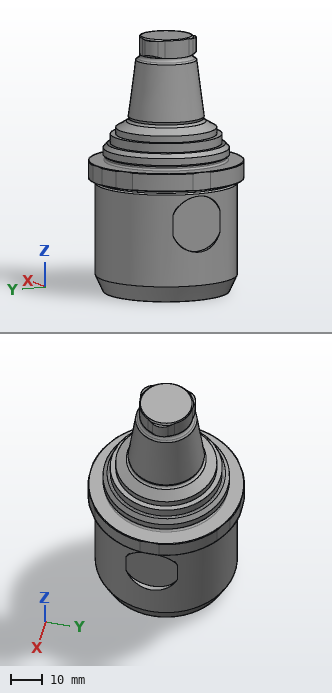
import cadquery as cq
import math

bottom_taper_top = 5.3
body_top = 35.25
flange_bottom = 36.2
flange_top = 42.0
undercut_bottom = 42.65
undercut_top = 43.2
ring_bottom = 43.8
ring_bevel_bottom = 46.0
ring_rim_level = 47.35
ring_top = 47.5
collar_top = 50.4
shoulder_top = 52.5
shoulder_cone_top = 54.5
cone_groove_level = 55.3
cone_bottom = 56.1
cone_top = 74.2
neck_bottom = 74.7
head_bottom = 76.0
total_height = 82.0

bottom_face_radius = 20.0
body_radius = 45.0 / 2
body_chamfer = 0.5
body_neck_radius = 35.0 / 2
flange_radius = 24.7
flange_chamfer = 0.25
flange_fillet_radius = 19.7
undercut_radius = 38.1 / 2
ring_radius = 40.0 / 2
ring_rim_radius = 18.7
ring_top_radius = 18.2
collar_radius = 35.4 / 2
shoulder_radius = 32.0 / 2
shoulder_cone_radius = 12.6
cone_groove_radius = 11.75
cone_bottom_radius = 12.05
cone_top_radius = 9.7
neck_bottom_radius = 9.1
neck_radius = 8.4

quarter_arc_mid = 1 - math.sqrt(0.5)

flange_flat_distance = 24.5
flange_flat_angles = (0, 60, 90, 120, 180, 240, 270, 300)

recess_diameter = 18.0
recess_level = 25.0
recess_floor = 20.9

head_radius = 8.45
head_chamfer = 0.3
lobe_count = 3
lobe_tip_radius = 9.5
lobe_root_half_angle = 30.0
lobe_shoulder_radius = 9.0
lobe_shoulder_half_angle = 16.2
lobe_top = 81.5
lobe_underside_rise = 0.85


def polar(radius, angle):
    """Point in the XY plane at a radius and an angle in degrees."""
    turn = math.radians(angle)
    return (radius * math.cos(turn), radius * math.sin(turn))


def concave_mid(vertical_end, flat_end):
    """Middle of the hollow corner from a vertical wall to a level face."""
    wall_radius, wall_level = vertical_end
    flat_radius, flat_level = flat_end
    return (
        wall_radius + (flat_radius - wall_radius) * quarter_arc_mid,
        flat_level + (wall_level - flat_level) * quarter_arc_mid,
    )


def make_turned_body():
    """Everything from the bottom face to the neck under the head."""
    flange_fillet_start = (flange_fillet_radius, flange_top)
    flange_fillet_end = (undercut_radius, undercut_bottom)
    flange_fillet_mid = concave_mid(flange_fillet_end, flange_fillet_start)
    shoulder_fillet_start = (shoulder_cone_radius, shoulder_cone_top)
    shoulder_fillet_end = (cone_groove_radius, cone_groove_level)
    shoulder_fillet_mid = concave_mid(shoulder_fillet_end, shoulder_fillet_start)
    neck_arc_start = (neck_bottom_radius, neck_bottom)
    neck_arc_end = (neck_radius, head_bottom)
    neck_arc_mid = concave_mid(neck_arc_end, neck_arc_start)
    profile = (
        cq.Workplane("XZ")
        .moveTo(0, 0)
        .lineTo(bottom_face_radius, 0)
        .lineTo(body_radius, bottom_taper_top)
        .lineTo(body_radius, body_top - body_chamfer)
        .lineTo(body_radius - body_chamfer, body_top)
        .lineTo(body_neck_radius, body_top)
        .lineTo(body_neck_radius, flange_bottom)
        .lineTo(flange_radius - flange_chamfer, flange_bottom)
        .lineTo(flange_radius, flange_bottom + flange_chamfer)
        .lineTo(flange_radius, flange_top - flange_chamfer)
        .lineTo(flange_radius - flange_chamfer, flange_top)
        .lineTo(*flange_fillet_start)
        .threePointArc(flange_fillet_mid, flange_fillet_end)
        .lineTo(undercut_radius, undercut_top)
        .lineTo(ring_radius, ring_bottom)
        .lineTo(ring_radius, ring_bevel_bottom)
        .lineTo(ring_rim_radius, ring_rim_level)
        .lineTo(ring_top_radius, ring_top)
        .lineTo(collar_radius, ring_top)
        .lineTo(collar_radius, collar_top)
        .lineTo(shoulder_radius, collar_top)
        .lineTo(shoulder_radius, shoulder_top)
        .lineTo(*shoulder_fillet_start)
        .threePointArc(shoulder_fillet_mid, shoulder_fillet_end)
        .lineTo(cone_bottom_radius, cone_bottom)
        .lineTo(cone_top_radius, cone_top)
        .lineTo(*neck_arc_start)
        .threePointArc(neck_arc_mid, neck_arc_end)
        .lineTo(0, head_bottom)
        .close()
    )
    return profile.revolve(360, (0, 0), (0, 1))


def make_flange_flats():
    """Cutting blocks outside each flat of the flange."""
    block = cq.Workplane("XY").box(
        flange_radius, flange_radius, flange_top - flange_bottom, centered=(False, True, False)
    ).translate((flange_flat_distance, 0, flange_bottom))
    cutters = cq.Workplane("XY")
    for angle in flange_flat_angles:
        cutters = cutters.add(block.rotate((0, 0, 0), (0, 0, 1), angle))
    return cutters.combine()


def cut_side_recesses(part):
    """Cut the round recess on both sides of the body."""
    for side in (-1, 1):
        recess = (
            cq.Workplane("YZ", origin=(side * recess_floor, 0, 0))
            .center(0, recess_level)
            .circle(recess_diameter / 2)
            .extrude(side * body_radius)
        )
        part = part.cut(recess)
    return part


def make_head():
    """Lobed prism trimmed by a turned envelope."""
    pitch = 360 / lobe_count
    outline = cq.Workplane("XY").moveTo(*polar(head_radius, -lobe_root_half_angle))
    for index in range(lobe_count):
        lobe = index * pitch
        outline = (
            outline.lineTo(*polar(lobe_shoulder_radius, lobe - lobe_shoulder_half_angle))
            .threePointArc(
                polar(lobe_tip_radius, lobe),
                polar(lobe_shoulder_radius, lobe + lobe_shoulder_half_angle),
            )
            .lineTo(*polar(head_radius, lobe + lobe_root_half_angle))
            .threePointArc(
                polar(head_radius, lobe + pitch / 2),
                polar(head_radius, lobe + pitch - lobe_root_half_angle),
            )
        )
    prism = outline.close().extrude(total_height)

    chamfer_top_radius = head_radius - head_chamfer
    envelope = (
        cq.Workplane("XZ")
        .moveTo(0, head_bottom)
        .lineTo(head_radius, head_bottom)
        .lineTo(lobe_tip_radius, head_bottom + lobe_underside_rise)
        .lineTo(lobe_tip_radius, lobe_top)
        .lineTo(chamfer_top_radius + total_height - lobe_top, lobe_top)
        .lineTo(chamfer_top_radius, total_height)
        .lineTo(0, total_height)
        .close()
        .revolve(360, (0, 0), (0, 1))
    )
    return prism.intersect(envelope)


body = make_turned_body().cut(make_flange_flats())
body = cut_side_recesses(body)
result = body.union(make_head())